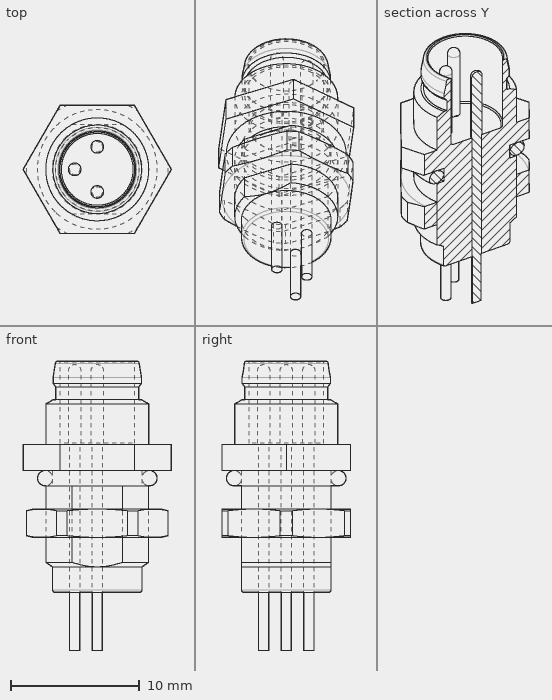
import cadquery as cq
import math

total_height = 22.5
housing_bottom = 4.52
collar_top = 6.5
thread_bottom = 6.86
ring_bottom = 12.8
flange_bottom = 14.0
flange_top = 16.02
shoulder_top = 19.5
nut_bottom = 8.8
nut_top = 11.0
cavity_floor = 16.02
pin_top = 22.23

hexagon_sides = 6
across_flats = 10.0

thread_radius = 4.0
flat_distance = 3.49
collar_radius = flat_distance
collar_edge_radius = 0.2
shoulder_chamfer_height = 0.34
shoulder_top_radius = 3.45
neck_radius = 3.25
neck_top = 20.5
lip_radius = 3.45
lip_bottom = 20.77
lip_taper_start = 21.25
rim_radius = neck_radius
rim_edge_radius = 0.2
cavity_radius = 2.9
cavity_rim_chamfer = 0.1
cavity_floor_chamfer = 0.11

ring_section_radius = (flange_bottom - ring_bottom) / 2
ring_outer_radius = 4.65
ring_centre_radius = ring_outer_radius - ring_section_radius
groove_radius = ring_centre_radius - ring_section_radius

nut_corner_radius = 5.51
nut_face_radius = across_flats / 2
nut_chamfer_height = 0.14

pin_radius = 0.5
lead_radius = 0.4
pin_circle_radius = 1.75
pin_angles = (90, 180, 270)


def pin_positions():
    """Centres of the three pins on their common circle."""
    return [
        (
            pin_circle_radius * math.cos(math.radians(angle)),
            pin_circle_radius * math.sin(math.radians(angle)),
        )
        for angle in pin_angles
    ]


def disc(radius, bottom, top):
    """Solid cylinder about Z between two heights."""
    return cq.Workplane("XY").workplane(offset=bottom).circle(radius).extrude(top - bottom)


def hexagon(bottom, top):
    """Hexagonal prism with two of its sides facing +Y and -Y."""
    corner_diameter = across_flats / math.cos(math.pi / hexagon_sides)
    return (
        cq.Workplane("XY")
        .workplane(offset=bottom)
        .polygon(hexagon_sides, corner_diameter)
        .extrude(top - bottom)
    )


def revolve_profile(points):
    """Solid of revolution about Z from (radius, height) points."""
    return cq.Workplane("XZ").polyline(points).close().revolve(360, (0, 0, 0), (0, 1, 0))


def flatted_thread(bottom, top):
    """Threaded cylinder with flats on its +Y and -Y sides."""
    slab = (
        cq.Workplane("XY")
        .workplane(offset=bottom)
        .rect(2 * thread_radius, 2 * flat_distance)
        .extrude(top - bottom)
    )
    return disc(thread_radius, bottom, top).intersect(slab)


def make_lower_barrel():
    """Collar, chamfered flatted thread and the groove floor under the sealing ring."""
    collar = disc(collar_radius, housing_bottom, collar_top).faces("<Z").edges().fillet(collar_edge_radius)
    thread_envelope = revolve_profile(
        [
            (0, collar_top),
            (collar_radius, collar_top),
            (thread_radius, thread_bottom),
            (thread_radius, ring_bottom),
            (0, ring_bottom),
        ]
    )
    thread = flatted_thread(collar_top, ring_bottom).intersect(thread_envelope)
    groove_floor = disc(groove_radius, ring_bottom, flange_bottom)
    return collar.union(thread).union(groove_floor)


def make_upper_barrel():
    """Shoulder, neck and tapered snap lip above the hexagonal flange."""
    barrel = revolve_profile(
        [
            (0, flange_top),
            (thread_radius, flange_top),
            (thread_radius, shoulder_top - shoulder_chamfer_height),
            (shoulder_top_radius, shoulder_top),
            (neck_radius, shoulder_top),
            (neck_radius, neck_top),
            (lip_radius, lip_bottom),
            (lip_radius, lip_taper_start),
            (rim_radius, total_height),
            (0, total_height),
        ]
    )
    return barrel.faces(">Z").edges().fillet(rim_edge_radius)


def make_housing():
    """Flanged housing with an open cavity at the top and holes for the pin leads."""
    housing = make_lower_barrel().union(hexagon(flange_bottom, flange_top)).union(make_upper_barrel())
    cavity = revolve_profile(
        [
            (0, cavity_floor),
            (cavity_radius - cavity_floor_chamfer, cavity_floor),
            (cavity_radius, cavity_floor + cavity_floor_chamfer),
            (cavity_radius, total_height - cavity_rim_chamfer),
            (cavity_radius + cavity_rim_chamfer, total_height),
            (0, total_height),
        ]
    )
    lead_holes = (
        cq.Workplane("XY")
        .workplane(offset=housing_bottom)
        .pushPoints(pin_positions())
        .circle(lead_radius)
        .extrude(cavity_floor - housing_bottom)
    )
    return housing.cut(cavity).cut(lead_holes)


def make_sealing_ring():
    """Round-section ring in the groove directly below the flange."""
    return (
        cq.Workplane("XZ")
        .center(ring_centre_radius, flange_bottom - ring_section_radius)
        .circle(ring_section_radius)
        .revolve(360, (-ring_centre_radius, 0, 0), (-ring_centre_radius, 1, 0))
    )


def make_nut():
    """Hexagonal nut with rounded corners, chamfered ends and a bore matching the flatted thread."""
    envelope = revolve_profile(
        [
            (0, nut_bottom),
            (nut_face_radius, nut_bottom),
            (nut_corner_radius, nut_bottom + nut_chamfer_height),
            (nut_corner_radius, nut_top - nut_chamfer_height),
            (nut_face_radius, nut_top),
            (0, nut_top),
        ]
    )
    return hexagon(nut_bottom, nut_top).intersect(envelope).cut(flatted_thread(nut_bottom, nut_top))


def make_pin(x, y):
    """Contact pin with a domed tip, standing on the cavity floor, and a thinner lead below."""
    lead = disc(lead_radius, 0, cavity_floor)
    contact = disc(pin_radius, cavity_floor, pin_top - pin_radius)
    dome = cq.Workplane("XY").sphere(pin_radius).translate((0, 0, pin_top - pin_radius))
    return lead.union(contact).union(dome).translate((x, y, 0))


housing = make_housing()
sealing_ring = make_sealing_ring()
nut = make_nut()
pins = [make_pin(x, y) for x, y in pin_positions()]

result = cq.Compound.makeCompound(
    [
        housing.val(),
        sealing_ring.val(),
        nut.val(),
        *[pin.val() for pin in pins],
    ]
)